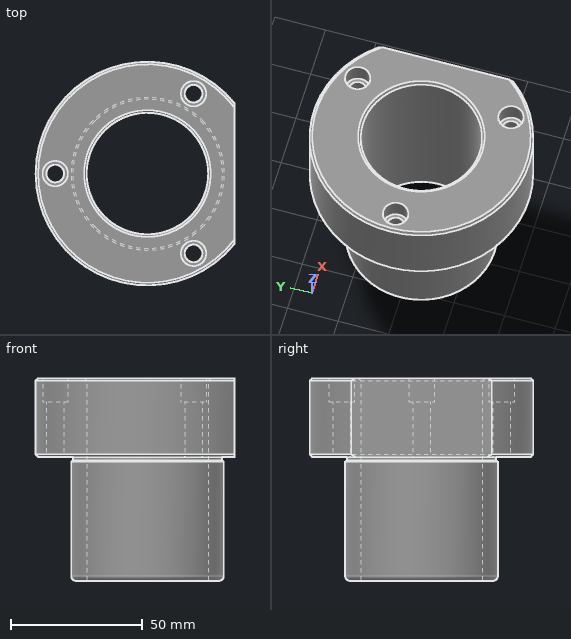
import cadquery as cq

flange_diameter = 84.9
flange_height = 30.0
flange_chamfer = 1.0
flat_distance = 33.0

total_height = 77.0
sleeve_diameter = 58.1
sleeve_end_radius = 2.0
relief_diameter = 56.7
relief_height = 1.2
relief_chamfer = (sleeve_diameter - relief_diameter) / 2

bore_diameter = 46.0
bore_chamfer = 1.0

hole_count = 3
hole_circle_radius = 35.0
first_hole_angle = 60
hole_diameter = 6.6
counterbore_diameter = 9.6
counterbore_depth = 9.0

flange_bottom = total_height - flange_height
relief_bottom = flange_bottom - relief_height


def cylinder(diameter, bottom, height):
    return cq.Workplane("XY").workplane(offset=bottom).circle(diameter / 2).extrude(height)


def make_flange():
    flange = cylinder(flange_diameter, flange_bottom, flange_height)
    flange = flange.edges().chamfer(flange_chamfer)
    beyond_flat = (
        cq.Workplane("XY")
        .box(flange_diameter, flange_diameter, total_height, centered=(False, True, False))
        .translate((flat_distance, 0, 0))
    )
    return flange.cut(beyond_flat)


def make_sleeve():
    sleeve = cylinder(sleeve_diameter, 0, relief_bottom)
    sleeve = sleeve.faces(">Z").edges().chamfer(relief_chamfer)
    sleeve = sleeve.faces("<Z").edges().fillet(sleeve_end_radius)
    return sleeve.union(cylinder(relief_diameter, relief_bottom, relief_height))


def cut_bore(body):
    body = body.cut(cylinder(bore_diameter, 0, total_height))
    mouth = cq.selectors.RadiusNthSelector(0)
    return body.faces(">Z").edges("%CIRCLE").edges(mouth).chamfer(bore_chamfer)


def cut_screw_holes(body):
    return (
        body.faces(">Z")
        .workplane(origin=(0, 0, total_height))
        .polarArray(hole_circle_radius, first_hole_angle, 360, hole_count)
        .cboreHole(hole_diameter, counterbore_diameter, counterbore_depth)
    )


result = cut_screw_holes(cut_bore(make_flange().union(make_sleeve())))